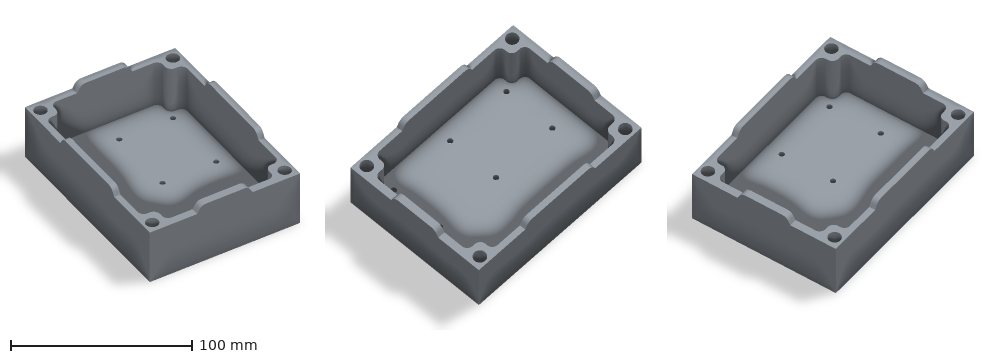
import cadquery as cq
import math

length = 130.0
width = 98.0
total_height = 40.0
tab_height = 5.0
rim_height = total_height - tab_height
end_wall = 5.0
side_wall = 4.0
floor_thickness = 5.0

post_length = 15.1
post_width = 13.5
post_radius = 4.0
screw_hole_diameter = 8.0
screw_inset_x = 6.9
screw_inset_y = 5.8

floor_hole_diameter = 3.5
floor_hole_pitch_x = 45.0
floor_hole_pitch_y = 35.0
floor_holes_per_side = 3

side_tab_base = 55.9
end_tab_base = 36.0
tab_slope_angle = 60.0
tab_radius = 5.0


def make_cavity():
    """Pocket with rounded corners that leaves a post in each corner of the box."""
    cavity_height = total_height - floor_thickness
    long_part = cq.Workplane("XY").box(
        length - 2 * end_wall, width - 2 * post_width, cavity_height, centered=(True, True, False)
    )
    wide_part = cq.Workplane("XY").box(
        length - 2 * post_length, width - 2 * side_wall, cavity_height, centered=(True, True, False)
    )
    cavity = long_part.union(wide_part).edges("|Z").fillet(post_radius)
    return cavity.translate((0, 0, floor_thickness))


def make_tab_pair(plane, base, depth):
    """Bar with the tab profile, spanning the box so that the cavity splits it into two tabs."""
    slope_run = tab_height / math.tan(math.radians(tab_slope_angle))
    half_base = base / 2
    half_top = half_base - slope_run
    profile = [
        (-half_base, rim_height),
        (half_base, rim_height),
        (half_top, total_height),
        (-half_top, total_height),
    ]
    bar = cq.Workplane(plane).polyline(profile).close().extrude(depth / 2, both=True)
    long_edge = "|Y" if plane == "XZ" else "|X"
    return bar.faces(">Z").edges(long_edge).fillet(tab_radius)


body = cq.Workplane("XY").box(length, width, rim_height, centered=(True, True, False))
body = body.union(make_tab_pair("XZ", side_tab_base, width))
body = body.union(make_tab_pair("YZ", end_tab_base, length))
body = body.cut(make_cavity())

screw_holes = (
    cq.Workplane("XY")
    .rect(length - 2 * screw_inset_x, width - 2 * screw_inset_y, forConstruction=True)
    .vertices()
    .circle(screw_hole_diameter / 2)
    .extrude(total_height)
)

floor_holes = (
    cq.Workplane("XY")
    .rarray(floor_hole_pitch_x, floor_hole_pitch_y, floor_holes_per_side, floor_holes_per_side)
    .circle(floor_hole_diameter / 2)
    .extrude(floor_thickness)
)

result = body.cut(screw_holes).cut(floor_holes)